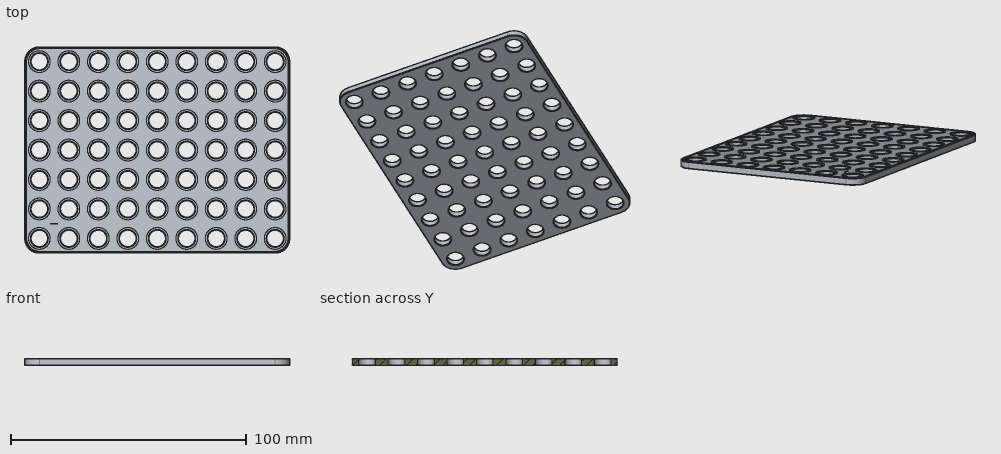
import cadquery as cq

length = 112.5
width = 87.5
thickness = 3.2

columns = 9
rows = 7
pitch = length / columns
corner_radius = pitch / 2
hole_diameter = 7.0
edge_chamfer = 0.3

rim_width = 0.8
collar_diameter = 9.2
recess_depth = 0.2
floor_height = thickness - recess_depth

bar_length = 2.9
bar_width = 0.3
bar_x = -pitch * (columns - 2) / 2
bar_y = -pitch * (rows - 2) / 2


def rounded_block(inset, bottom, height):
    """Return a rounded block, inset evenly from the plate outline."""
    return (
        cq.Workplane("XY", origin=(0, 0, bottom))
        .rect(length - 2 * inset, width - 2 * inset)
        .extrude(height)
        .edges("|Z")
        .fillet(corner_radius - inset)
    )


def grid_cylinders(diameter, bottom, height):
    """Return an upright cylinder at every point of the hole grid."""
    return (
        cq.Workplane("XY", origin=(0, 0, bottom))
        .rarray(pitch, pitch, columns, rows)
        .circle(diameter / 2)
        .extrude(height)
    )


plate = (
    rounded_block(0, 0, thickness)
    .cut(grid_cylinders(hole_diameter, 0, thickness))
    .faces("<Z or >Z")
    .edges()
    .chamfer(edge_chamfer)
)

bar = (
    cq.Workplane("XY", origin=(bar_x, bar_y, floor_height))
    .rect(bar_length, bar_width)
    .extrude(recess_depth)
)
recess = (
    rounded_block(rim_width, floor_height, recess_depth)
    .cut(grid_cylinders(collar_diameter, floor_height, recess_depth))
    .cut(bar)
)

result = plate.cut(recess)